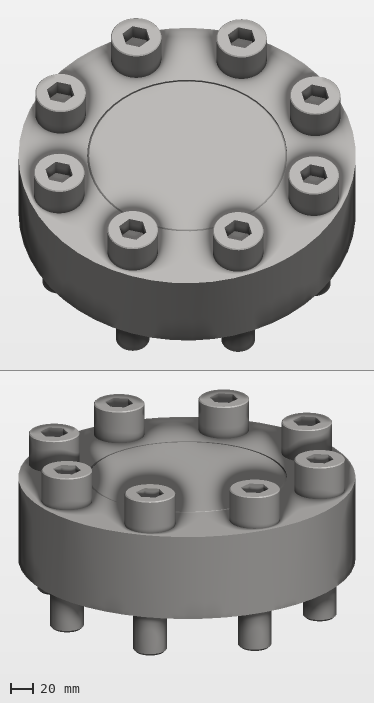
import cadquery as cq
import math

disc_diameter = 300
disc_height = 78

pad_diameter = 205.0
pad_height = 3.5

groove_diameter = 178.0
groove_width = 1.8
groove_depth = 1.8

bolt_count = 8
bolt_circle_diameter = 245.0
head_diameter = 45
head_height = 30
head_chamfer = 1.0
shank_diameter = 30
shank_projection = 42
shank_chamfer = 2.0
socket_width = 22.0
socket_sides = 6
socket_depth = 15


def make_disc():
    disc = cq.Workplane("XY").circle(disc_diameter / 2).extrude(disc_height)
    pad = cq.Workplane("XY").circle(pad_diameter / 2).extrude(-pad_height)
    return disc.union(pad)


def make_groove():
    """Ring of triangular section, swept around the Z axis."""
    outer_radius = groove_diameter / 2
    return (
        cq.Workplane("XZ")
        .moveTo(outer_radius - groove_width, disc_height)
        .lineTo(outer_radius, disc_height)
        .lineTo(outer_radius, disc_height - groove_depth)
        .close()
        .revolve(360, (0, 0), (0, 1))
    )


def make_bolt():
    """Bolt on the Z axis, its head resting on top of the disc."""
    head = (
        cq.Workplane("XY", origin=(0, 0, disc_height))
        .circle(head_diameter / 2)
        .extrude(head_height)
        .faces(">Z")
        .chamfer(head_chamfer)
    )
    shank = (
        cq.Workplane("XY", origin=(0, 0, -shank_projection))
        .circle(shank_diameter / 2)
        .extrude(shank_projection + disc_height)
        .faces("<Z")
        .chamfer(shank_chamfer)
    )
    socket = (
        cq.Workplane("XY", origin=(0, 0, disc_height + head_height))
        .polygon(socket_sides, socket_width, circumscribed=True)
        .extrude(-socket_depth)
    )
    return head.union(shank).cut(socket)


result = make_disc().cut(make_groove())

bolt = make_bolt()
bolt_step = 360 / bolt_count
for index in range(bolt_count):
    angle = math.radians((index + 0.5) * bolt_step)
    x = bolt_circle_diameter / 2 * math.cos(angle)
    y = bolt_circle_diameter / 2 * math.sin(angle)
    result = result.union(bolt.translate((x, y, 0)))